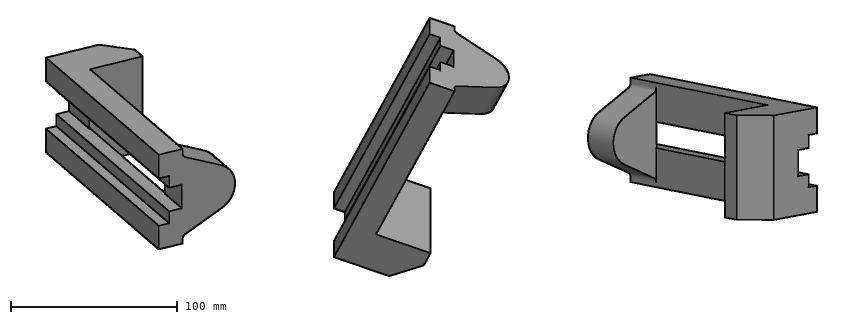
import cadquery as cq
import math

length = 144.0
depth = 52.0
height = 64.0
base_thickness = 16.3

square_jaw_width = 25.9
jaw_chamfer = 15.8

nose_jaw_width = 22.0
nose_radius = 16.0
flank_angle = 25.0
root_radius = 3.0

wide_groove_height = 32.0
wide_groove_depth = 7.0
narrow_groove_height = 16.0
narrow_groove_depth = 15.7

mid_z = height / 2


def front_groove(x_start, x_end, groove_height, groove_depth):
    """Box cut inward from the front face, centred on the mid height."""
    return cq.Workplane("XY").box(
        x_end - x_start, groove_depth, groove_height, centered=(False, False, True)
    ).translate((x_start, 0, mid_z))


def body():
    """L-shaped base and square jaw, extruded over the full height."""
    return (
        cq.Workplane("XY")
        .moveTo(0, 0)
        .lineTo(length, 0)
        .lineTo(length, base_thickness)
        .lineTo(square_jaw_width, base_thickness)
        .lineTo(square_jaw_width, depth)
        .lineTo(jaw_chamfer, depth)
        .lineTo(0, depth - jaw_chamfer)
        .close()
        .extrude(height)
    )


def nose_jaw():
    """Jaw with a full-round nose, tapering flanks and filleted roots, all tangent."""
    angle = math.radians(flank_angle)
    nose_y = depth - nose_radius
    tangent_y = nose_y + nose_radius * math.sin(angle)
    tangent_z = nose_radius * math.cos(angle)

    root_center_y = base_thickness + root_radius
    root_y = root_center_y - root_radius * math.sin(angle)
    root_z = tangent_z + (tangent_y - root_y) * math.tan(angle)
    root_center_z = root_z + root_radius * math.cos(angle)
    middle_angle = (angle + math.pi / 2) / 2
    root_middle_y = root_center_y - root_radius * math.sin(middle_angle)
    root_middle_z = root_center_z - root_radius * math.cos(middle_angle)

    return (
        cq.Workplane("YZ", origin=(length - nose_jaw_width, 0, mid_z))
        .moveTo(base_thickness, -root_center_z)
        .threePointArc((root_middle_y, -root_middle_z), (root_y, -root_z))
        .lineTo(tangent_y, -tangent_z)
        .threePointArc((depth, 0), (tangent_y, tangent_z))
        .lineTo(root_y, root_z)
        .threePointArc((root_middle_y, root_middle_z), (base_thickness, root_center_z))
        .close()
        .extrude(nose_jaw_width)
    )


wide_groove = front_groove(0, length, wide_groove_height, wide_groove_depth)
narrow_groove = front_groove(0, length, narrow_groove_height, narrow_groove_depth)
window = front_groove(
    square_jaw_width, length - nose_jaw_width, narrow_groove_height, base_thickness
)

result = body().union(nose_jaw()).cut(wide_groove).cut(narrow_groove).cut(window)